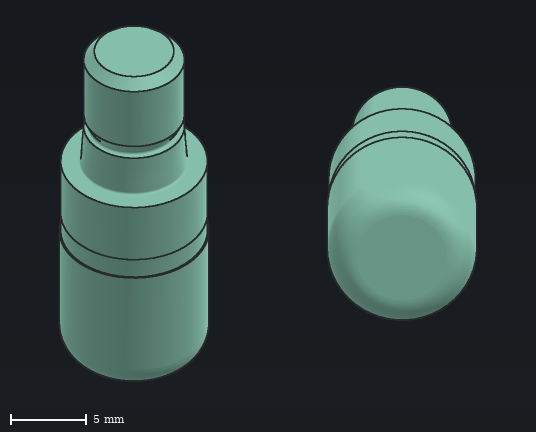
import cadquery as cq
import math

TOTAL_HEIGHT = 25.5
JOINT_HEIGHT = 11.5
CAP_STEP_HEIGHT = 10.0
SHOULDER_HEIGHT = 16.01
NECK_TOP = 19.02
GROOVE_TOP = 20.05
GROOVE_BLEND_HEIGHT = 0.2

CAP_RADIUS = 5.0
BODY_RADIUS = 4.9
STUD_RADIUS = 3.37
NECK_BASE_RADIUS = 3.55
GROOVE_RADIUS = 3.0
GROOVE_FLANK_RADIUS = 3.09

CAP_ROUND = 2.0
STUD_CHAMFER = 0.71
CORNER_FILLET = 0.2


def make_cap():
    """Round-bottomed cap with a narrower rim at its top."""
    wide_part = cq.Workplane("XY").circle(CAP_RADIUS).extrude(CAP_STEP_HEIGHT)
    wide_part = wide_part.faces("<Z").edges().fillet(CAP_ROUND)
    rim = (
        cq.Workplane("XY")
        .workplane(offset=CAP_STEP_HEIGHT)
        .circle(BODY_RADIUS)
        .extrude(JOINT_HEIGHT - CAP_STEP_HEIGHT)
    )
    return wide_part.union(rim)


def make_stud():
    """Collar, tapered neck, groove and chamfered end, revolved about Z."""
    diagonal = CORNER_FILLET * (1 - math.sqrt(0.5))
    groove_floor = NECK_TOP + CORNER_FILLET
    profile = (
        cq.Workplane("XZ")
        .moveTo(0, JOINT_HEIGHT)
        .lineTo(BODY_RADIUS, JOINT_HEIGHT)
        .lineTo(BODY_RADIUS, SHOULDER_HEIGHT)
        .lineTo(NECK_BASE_RADIUS + CORNER_FILLET, SHOULDER_HEIGHT)
        .threePointArc(
            (NECK_BASE_RADIUS + diagonal, SHOULDER_HEIGHT + diagonal),
            (NECK_BASE_RADIUS, SHOULDER_HEIGHT + CORNER_FILLET),
        )
        .lineTo(STUD_RADIUS, NECK_TOP)
        .lineTo(GROOVE_RADIUS + CORNER_FILLET, NECK_TOP)
        .threePointArc(
            (GROOVE_RADIUS + diagonal, NECK_TOP + diagonal),
            (GROOVE_RADIUS, groove_floor),
        )
        .tangentArcPoint((GROOVE_FLANK_RADIUS, groove_floor + GROOVE_BLEND_HEIGHT), relative=False)
        .lineTo(STUD_RADIUS, GROOVE_TOP)
        .lineTo(STUD_RADIUS, TOTAL_HEIGHT - STUD_CHAMFER)
        .lineTo(STUD_RADIUS - STUD_CHAMFER, TOTAL_HEIGHT)
        .lineTo(0, TOTAL_HEIGHT)
        .close()
    )
    return profile.revolve(360, (0, 0, 0), (0, 1, 0))


cap = make_cap()
stud = make_stud()
result = cq.Compound.makeCompound([cap.val(), stud.val()])